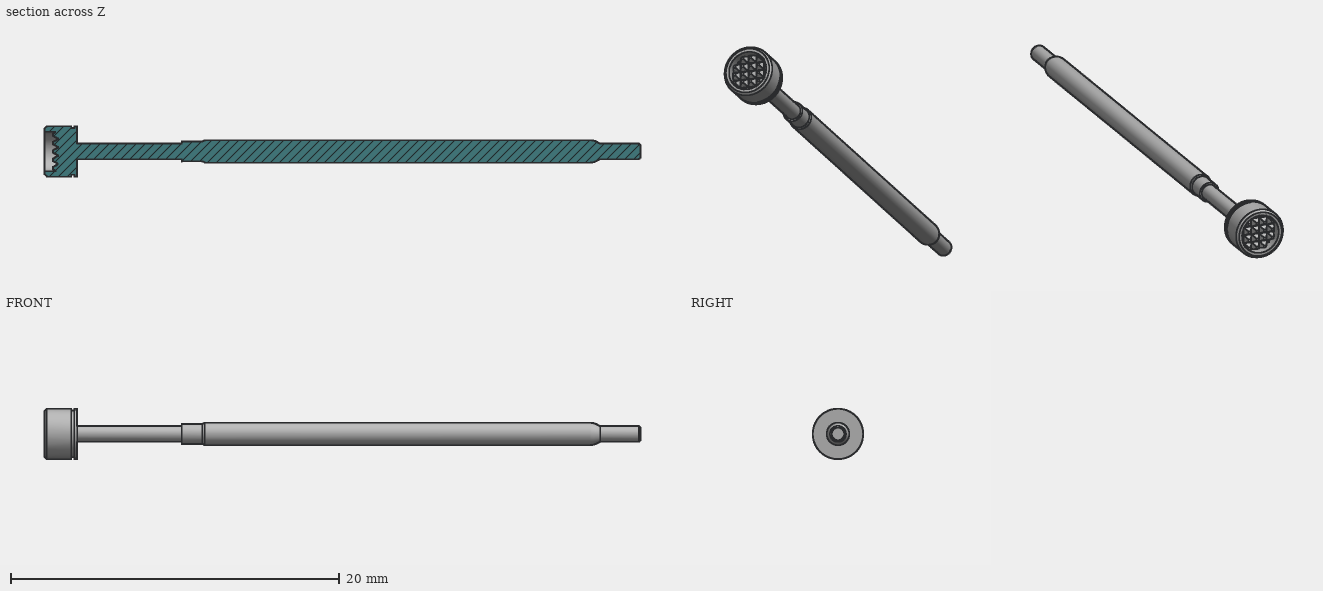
import cadquery as cq

TOTAL_LENGTH = 36.32

HEAD_RADIUS = 3.1 / 2
HEAD_LENGTH = 2.0
HEAD_CHAMFER = 0.15
GROOVE_START = 1.65
GROOVE_WIDTH = 0.18
GROOVE_DEPTH = 0.1

CUP_RADIUS = 1.2
CREST_DEPTH = 0.5
TOOTH_PITCH = 0.5
TOOTH_HEIGHT = 0.33
CREST_WIDTH = 0.15
TEETH_PER_ROW = 5
TOOTH_ROOT = 0.18
CUP_DEPTH = CREST_DEPTH + TOOTH_HEIGHT

STEM_RADIUS = 0.98 / 2

NECK_START = 8.35
NECK_RADIUS = 0.6
SHOULDER_START = 9.62
SHOULDER_LENGTH = 0.15
BARREL_RADIUS = 0.7
CRIMP_START = 33.27
CRIMP_LENGTH = 0.35
CRIMP_STEP = 0.09
CRIMP_CONE_LENGTH = 0.2

TAIL_RADIUS = 0.98 / 2
TAIL_CHAMFER = 0.1


def cylinder(start, length, radius):
    """Solid cylinder along X, beginning at the given X position."""
    return cq.Workplane("YZ").workplane(offset=start).circle(radius).extrude(length)


def head():
    """Disc with a chamfered front edge and a shallow groove near its rear face."""
    body = cylinder(0, HEAD_LENGTH, HEAD_RADIUS).faces("<X").chamfer(HEAD_CHAMFER)
    groove_floor = cylinder(GROOVE_START, GROOVE_WIDTH, HEAD_RADIUS - GROOVE_DEPTH)
    groove = cylinder(GROOVE_START, GROOVE_WIDTH, HEAD_RADIUS).cut(groove_floor)
    return body.cut(groove)


def teeth():
    """Grid of teeth left where two crossed sets of ridges overlap, trimmed to the cup."""
    root = CUP_DEPTH + TOOTH_ROOT
    half_span = TEETH_PER_ROW * TOOTH_PITCH / 2
    outline = [(root, -half_span), (CUP_DEPTH, -half_span)]
    for index in range(TEETH_PER_ROW):
        crest = (index + 0.5) * TOOTH_PITCH - half_span
        outline.append((CREST_DEPTH, crest - CREST_WIDTH / 2))
        outline.append((CREST_DEPTH, crest + CREST_WIDTH / 2))
        outline.append((CUP_DEPTH, crest + TOOTH_PITCH / 2))
    outline.append((root, half_span))
    ridges = cq.Workplane("XY").polyline(outline).close().extrude(half_span, both=True)
    crossed = ridges.intersect(ridges.rotate((0, 0, 0), (1, 0, 0), 90))
    return crossed.intersect(cylinder(CREST_DEPTH, root - CREST_DEPTH, CUP_RADIUS))


def shaft():
    """Stem, neck, barrel and tail as one profile revolved about X."""
    crimp_end = CRIMP_START + CRIMP_LENGTH
    return (
        cq.Workplane("XY")
        .moveTo(HEAD_LENGTH, 0)
        .lineTo(HEAD_LENGTH, STEM_RADIUS)
        .lineTo(NECK_START, STEM_RADIUS)
        .lineTo(NECK_START, NECK_RADIUS)
        .lineTo(SHOULDER_START, NECK_RADIUS)
        .lineTo(SHOULDER_START + SHOULDER_LENGTH, BARREL_RADIUS)
        .lineTo(CRIMP_START, BARREL_RADIUS)
        .tangentArcPoint((crimp_end, BARREL_RADIUS - CRIMP_STEP), relative=False)
        .lineTo(crimp_end + CRIMP_CONE_LENGTH, TAIL_RADIUS)
        .lineTo(TOTAL_LENGTH - TAIL_CHAMFER, TAIL_RADIUS)
        .lineTo(TOTAL_LENGTH, TAIL_RADIUS - TAIL_CHAMFER)
        .lineTo(TOTAL_LENGTH, 0)
        .close()
        .revolve(360, (0, 0, 0), (1, 0, 0))
    )


cup = cylinder(0, CUP_DEPTH, CUP_RADIUS)
result = head().cut(cup).union(teeth()).union(shaft())